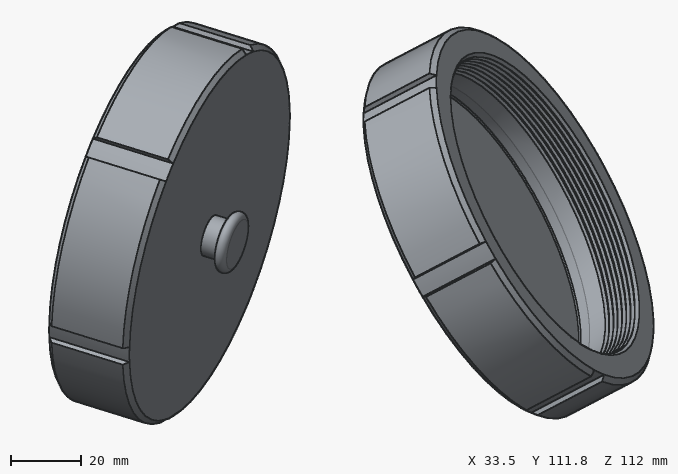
import cadquery as cq
import math

outer_radius = 56.0
body_length = 25.0
edge_chamfer = 1.5

slot_count = 6
slot_depth = 1.5
slot_floor_width = 5.6
slot_wall_angle = 15.0

crest_radius = 46.5
root_radius = 47.4
cavity_depth = 20.0
mouth_chamfer = root_radius - crest_radius
thread_pitch = 1.5
thread_count = 7
relief_start = 16.5
relief_radius = 46.8
floor_chamfer = 0.5

stem_radius = 6.0
stem_length = 5.0
knob_length = 3.5
knob_rim_radius = 9.1
knob_face_radius = knob_rim_radius - knob_length / 2


def make_body():
    """Solid disc with both outer edges chamfered."""
    disc = cq.Workplane("YZ").circle(outer_radius).extrude(body_length)
    return disc.edges().chamfer(edge_chamfer)


def make_slot():
    """Full-length cutter with flared walls, reaching past the rim on +Y."""
    floor_radius = outer_radius - slot_depth
    cutter_top = outer_radius + slot_depth
    half_floor = slot_floor_width / 2
    flare = (cutter_top - floor_radius) * math.tan(math.radians(slot_wall_angle))
    half_top = half_floor + flare
    wedge = (
        cq.Workplane("YZ")
        .moveTo(0, 0)
        .lineTo(floor_radius, -half_floor)
        .lineTo(cutter_top, -half_top)
        .lineTo(cutter_top, half_top)
        .lineTo(floor_radius, half_floor)
        .close()
        .extrude(body_length)
    )
    core = cq.Workplane("YZ").circle(floor_radius).extrude(body_length)
    return wedge.cut(core)


def make_cavity():
    """Revolved cavity: chamfered mouth, ring-shaped thread grooves, tapered relief, chamfered floor."""
    profile = (
        cq.Workplane("XY")
        .moveTo(0, 0)
        .lineTo(0, root_radius)
        .lineTo(mouth_chamfer, crest_radius)
    )
    for index in range(thread_count):
        start = mouth_chamfer + index * thread_pitch
        profile = profile.lineTo(start + thread_pitch / 2, root_radius)
        profile = profile.lineTo(start + thread_pitch, crest_radius)
    profile = (
        profile.lineTo(relief_start, crest_radius)
        .lineTo(cavity_depth - floor_chamfer, relief_radius)
        .lineTo(cavity_depth, relief_radius - floor_chamfer)
        .lineTo(cavity_depth, 0)
        .close()
    )
    return profile.revolve(360, (0, 0, 0), (1, 0, 0))


def make_knob():
    """Stem and head with a fully rounded rim."""
    head_start = body_length + stem_length
    head_end = head_start + knob_length
    return (
        cq.Workplane("XY")
        .moveTo(body_length, 0)
        .lineTo(body_length, stem_radius)
        .lineTo(head_start, stem_radius)
        .lineTo(head_start, knob_face_radius)
        .threePointArc(
            (head_start + knob_length / 2, knob_rim_radius),
            (head_end, knob_face_radius),
        )
        .lineTo(head_end, 0)
        .close()
        .revolve(360, (0, 0, 0), (1, 0, 0))
    )


body = make_body()
slot = make_slot()
for index in range(slot_count):
    angle = index * 360 / slot_count
    body = body.cut(slot.rotate((0, 0, 0), (1, 0, 0), angle))

result = body.cut(make_cavity()).union(make_knob())